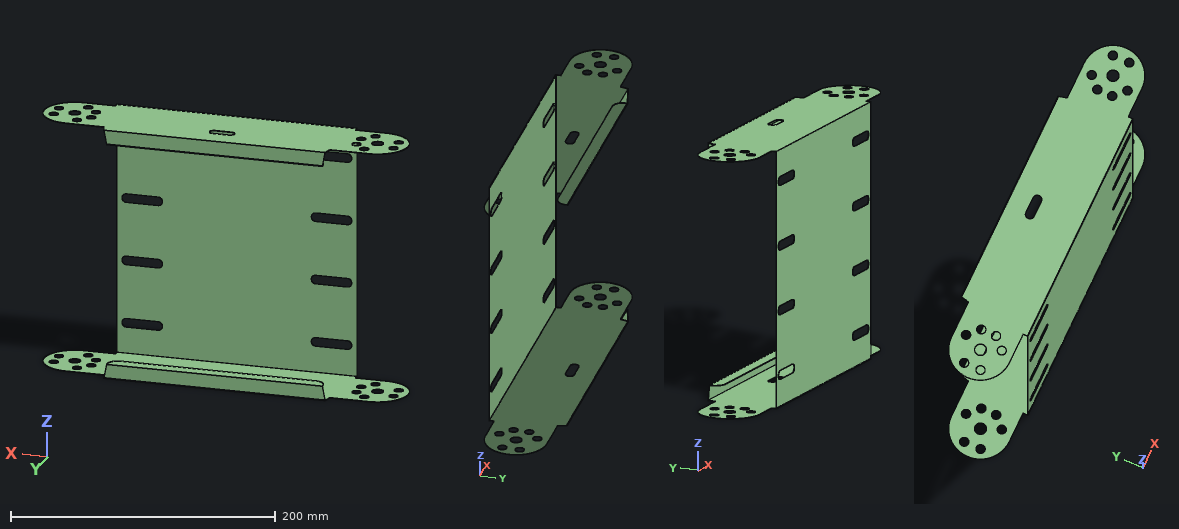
import cadquery as cq
import math

thickness = 0.6
overall_length = 288.0
overall_height = 200.0
half_height = overall_height / 2

front_y = -28.2
back_y = 31.0

panel_width = 190.0
panel_slot_length = 32.0
panel_slot_width = 7.0
panel_slot_x = 75.0
panel_slot_pitch = 50.0
panel_slot_rows = 4

ear_radius = 24.2
ear_x = overall_length / 2 - ear_radius
shoulder_half_width = 89.3
plate_slot_length = 20.0
plate_slot_width = 7.0
plate_slot_y = 11.0

pivot_hole_diameter = 9.0
bolt_hole_diameter = 7.0
bolt_circle_radius = 16.0
bolt_angles = (22.5, 67.5, 155)

lip_half_width = 87.5
lip_end_half_width = 85.2
lip_height = 11.8
return_depth = 10.0
return_corner_radius = 8.0


def make_panel():
    """Upright front panel with a column of slots near each end."""
    panel = cq.Workplane("XY").box(panel_width, thickness, overall_height)
    panel = panel.translate((0, front_y + thickness / 2, 0))
    slots = (
        cq.Workplane("XZ", origin=(0, front_y + thickness / 2, 0))
        .rarray(2 * panel_slot_x, panel_slot_pitch, 2, panel_slot_rows)
        .slot2D(panel_slot_length, panel_slot_width)
        .extrude(thickness, both=True)
    )
    return panel.cut(slots)


def ear_hole_points():
    """Bolt hole centres of both ears, mirrored about X and Y."""
    points = []
    for side in (-1, 1):
        for angle in bolt_angles:
            along = bolt_circle_radius * math.cos(math.radians(angle))
            across = bolt_circle_radius * math.sin(math.radians(angle))
            x = side * (ear_x - along)
            points += [(x, across), (x, -across)]
    return points


def make_top_plate():
    """Flat top plate with two rounded ears, ear holes and a central slot."""
    base = cq.Workplane("XY", origin=(0, 0, half_height - thickness))
    half_panel = panel_width / 2
    plate = (
        base.moveTo(-half_panel, front_y)
        .lineTo(half_panel, front_y)
        .lineTo(half_panel, -ear_radius)
        .lineTo(ear_x, -ear_radius)
        .threePointArc((ear_x + ear_radius, 0), (ear_x, ear_radius))
        .lineTo(shoulder_half_width, ear_radius)
        .lineTo(lip_half_width, back_y)
        .lineTo(-lip_half_width, back_y)
        .lineTo(-shoulder_half_width, ear_radius)
        .lineTo(-ear_x, ear_radius)
        .threePointArc((-ear_x - ear_radius, 0), (-ear_x, -ear_radius))
        .lineTo(-half_panel, -ear_radius)
        .close()
        .extrude(thickness)
    )
    pivot_holes = base.pushPoints([(-ear_x, 0), (ear_x, 0)]).circle(pivot_hole_diameter / 2).extrude(thickness)
    bolt_holes = base.pushPoints(ear_hole_points()).circle(bolt_hole_diameter / 2).extrude(thickness)
    slot = base.center(0, plate_slot_y).slot2D(plate_slot_length, plate_slot_width).extrude(thickness)
    return plate.cut(pivot_holes).cut(bolt_holes).cut(slot)


def make_top_lip():
    """Tapered lip hanging from the top plate, with a return flange facing the front panel."""
    lip_bottom = half_height - lip_height
    lip = (
        cq.Workplane("XZ", origin=(0, back_y, 0))
        .moveTo(-lip_half_width, half_height)
        .lineTo(lip_half_width, half_height)
        .lineTo(lip_end_half_width, lip_bottom)
        .lineTo(-lip_end_half_width, lip_bottom)
        .close()
        .extrude(thickness)
    )
    return_flange = (
        cq.Workplane("XY", origin=(0, back_y - return_depth / 2, lip_bottom + thickness / 2))
        .box(2 * lip_end_half_width, return_depth, thickness)
        .edges("|Z and <Y")
        .fillet(return_corner_radius)
    )
    return lip.union(return_flange)


top_side = make_top_plate().union(make_top_lip())
bottom_side = top_side.mirror("XY")
result = make_panel().union(top_side).union(bottom_side)